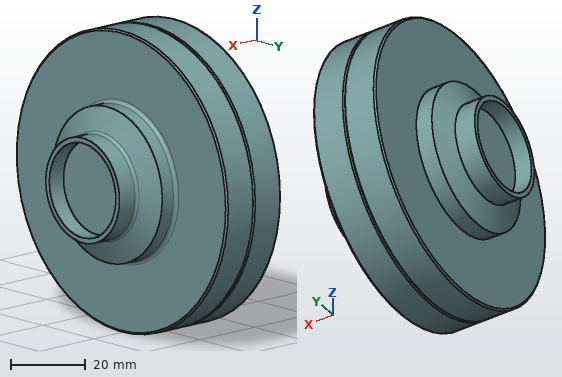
import cadquery as cq

flange_radius = 41.5
flange_thickness = 10.0
edge_chamfer = 0.5
joint_chamfer = 0.4
hub_radius = 21.5
hub_end = 14.9
cone_end = 17.8
pipe_radius = 14.45
pipe_end = 24.0
bore_radius = 13.0
bore_depth = 5.15
neck_fillet = 1.0


def make_flange():
    """Turn one flange with its neck pointing along +X and a blind bore in the pipe end."""
    rim_flat_radius = flange_radius - edge_chamfer
    joint_flat_radius = flange_radius - joint_chamfer
    bore_floor = pipe_end - bore_depth
    profile = (
        cq.Workplane("XY")
        .moveTo(0, 0)
        .lineTo(0, joint_flat_radius)
        .lineTo(joint_chamfer, flange_radius)
        .lineTo(flange_thickness - edge_chamfer, flange_radius)
        .lineTo(flange_thickness, rim_flat_radius)
        .lineTo(flange_thickness, hub_radius)
        .lineTo(hub_end, hub_radius)
        .lineTo(cone_end, pipe_radius)
        .lineTo(pipe_end, pipe_radius)
        .lineTo(pipe_end, bore_radius)
        .lineTo(bore_floor, bore_radius)
        .lineTo(bore_floor, 0)
        .close()
    )
    return profile.revolve(360, (0, 0, 0), (1, 0, 0))


def circle_at(x, radius):
    """Select the circular edge of the given radius at the given place on the axis."""
    margin = 0.1
    reach = radius + margin
    return cq.selectors.BoxSelector(
        (x - margin, -reach, -reach), (x + margin, reach, reach), boundingbox=True
    )


def round_neck_roots(flange):
    """Fillet the hub root at the flange face and the pipe root at the cone."""
    hub_root = circle_at(flange_thickness, hub_radius)
    pipe_root = circle_at(cone_end, pipe_radius)
    return flange.edges(hub_root + pipe_root).fillet(neck_fillet)


plain_flange = make_flange().mirror("YZ")
filleted_flange = round_neck_roots(make_flange())

result = cq.Compound.makeCompound([plain_flange.val(), filleted_flange.val()])